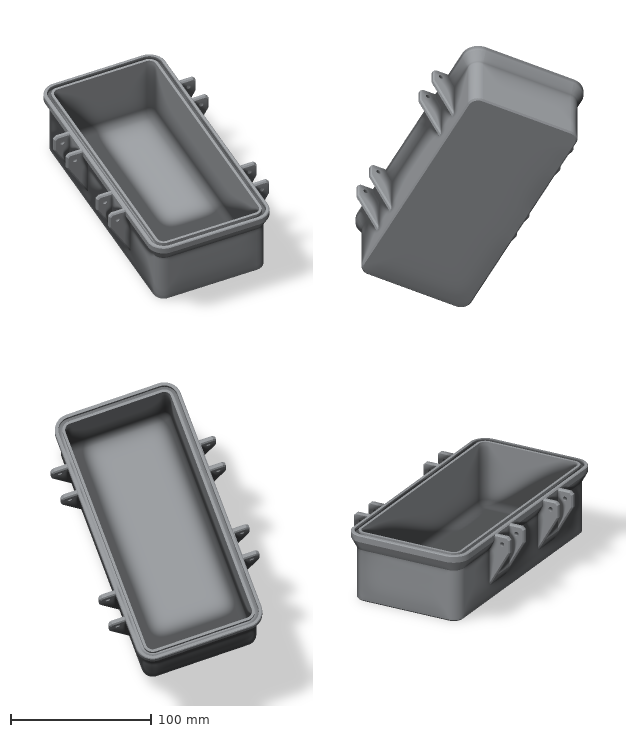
import cadquery as cq

rim_length = 195.2
rim_width = 94.9
height = 53.0
span_over_lugs = 119.3

rim_overhang = 4.3
rim_radius = 12.5
rim_band = 5.0
rim_flare = 8.0
rim_chamfer = 0.5
base_chamfer = 1.2
wall = 3.1
floor = 3.0

body_width = rim_width - 2 * rim_overhang

groove_inset = 2.5
groove_width = 3.0
groove_depth = 3.0

lug_thickness = 4.0
lug_spacing = 20.9
lug_edge_chamfer = 1.0
lug_corner_chamfer = 2.1
lug_drop = 0.5
lug_slope_start = 12.7
lug_slope_end = 41.4
web_projection = 0.4
front_pair_x = 35.3
back_pair_x = 50.5

lug_top = height - lug_drop
lug_slope_top = height - lug_slope_start
lug_slope_bottom = height - lug_slope_end
lug_tip = span_over_lugs / 2
web_face = rim_width / 2 + web_projection
lug_root = (body_width - wall) / 2

pin_diameter = 3.3
pin_from_tip = 6.0
pin_below_top = 6.8


def rounded_slab(inset, bottom, depth):
    """Rounded rectangle lying inside the rim outline by the given inset, extruded up."""
    slab = cq.Workplane("XY", origin=(0, 0, bottom))
    slab = slab.rect(rim_length - 2 * inset, rim_width - 2 * inset).extrude(depth)
    return slab.edges("|Z").fillet(rim_radius - inset)


def make_shell_outside():
    """Straight body that flares out to a wider rim band."""
    body = rounded_slab(rim_overhang, 0, height - rim_band)
    body = body.faces("<Z").edges().chamfer(base_chamfer)
    rim_depth = rim_band + rim_flare
    rim = rounded_slab(0, height - rim_depth, rim_depth)
    rim = rim.faces("<Z").edges().chamfer(rim_flare, rim_overhang)
    rim = rim.faces(">Z").edges().chamfer(rim_chamfer)
    return body.union(rim)


def make_cavity():
    """Inside of the box, with the floor edges rounded like the corners."""
    inset = rim_overhang + wall
    cavity = cq.Workplane("XY", origin=(0, 0, floor))
    cavity = cavity.rect(rim_length - 2 * inset, rim_width - 2 * inset).extrude(height - floor)
    return cavity.edges("|Z or <Z").fillet(rim_radius - inset)


def make_groove():
    """Ring that runs around the top of the rim."""
    bottom = height - groove_depth
    outer = rounded_slab(groove_inset, bottom, groove_depth)
    return outer.cut(rounded_slab(groove_inset + groove_width, bottom, groove_depth))


def slope_height(y):
    """Height of the sloped underside of a lug at a distance y from the box centre."""
    rise_per_reach = (lug_slope_top - lug_slope_bottom) / (lug_tip - body_width / 2)
    return lug_slope_bottom + rise_per_reach * (y - body_width / 2)


def make_lug():
    """One lug pointing to +Y, centred on X = 0, with its edges chamfered on both sides."""
    outline = [
        (lug_root, slope_height(lug_root)),
        (lug_tip, lug_slope_top),
        (lug_tip, lug_top - lug_corner_chamfer),
        (lug_tip - lug_corner_chamfer, lug_top),
        (lug_root, lug_top),
    ]
    plate = cq.Workplane("YZ").polyline(outline).close().extrude(lug_thickness / 2, both=True)
    plate = plate.faces("<X or >X").edges().chamfer(lug_edge_chamfer)
    pin_hole = (
        cq.Workplane("YZ")
        .center(lug_tip - pin_from_tip, height - pin_below_top)
        .circle(pin_diameter / 2)
        .extrude(lug_thickness, both=True)
    )
    return plate.cut(pin_hole)


def make_web():
    """Thickened wall that fills the space between two lugs."""
    outline = [
        (lug_root, slope_height(lug_root)),
        (web_face, slope_height(web_face)),
        (web_face, lug_top),
        (lug_root, lug_top),
    ]
    return cq.Workplane("YZ").polyline(outline).close().extrude(lug_spacing / 2, both=True)


def make_lug_pair():
    """Two lugs pointing to +Y, spaced evenly about X = 0."""
    half_spacing = lug_spacing / 2
    lug = make_lug()
    left_lug = lug.translate((-half_spacing, 0, 0))
    right_lug = lug.translate((half_spacing, 0, 0))
    return left_lug.union(right_lug)


back_pair = make_lug_pair()
front_pair = make_lug_pair().union(make_web()).mirror("XZ")

result = make_shell_outside()
for side in (-1, 1):
    result = result.union(back_pair.translate((side * back_pair_x, 0, 0)))
    result = result.union(front_pair.translate((side * front_pair_x, 0, 0)))
result = result.cut(make_cavity()).cut(make_groove())